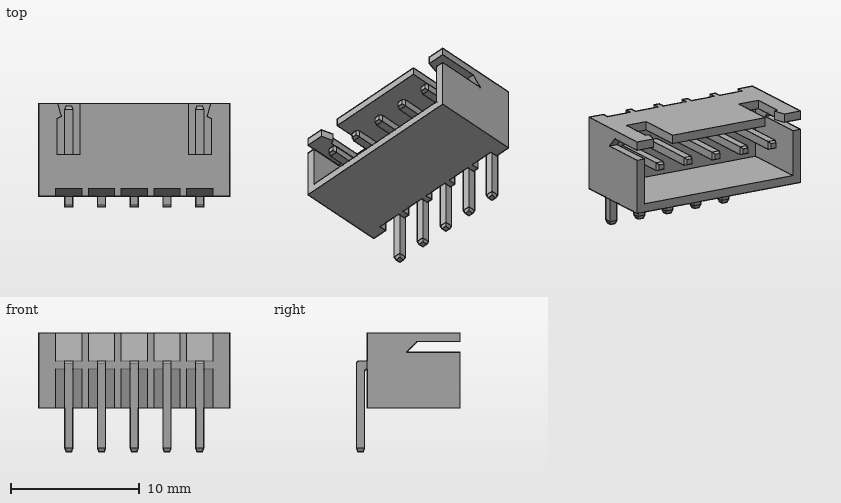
import cadquery as cq


housing_length = 14.83
housing_depth = 7.2
housing_height = 5.85
top_wall = 0.68
bottom_wall = top_wall
end_wall = 0.7
back_wall = 1.6

pin_count = 5
pin_pitch = 2.54
pin_size = 0.64
pin_drop = 2.18
pin_overhang = 0.83
pin_tail = 3.38
pin_tip_setback = 0.2
pin_bend_radius = 0.21
tip_length = 0.28
tip_inset = 0.1

recess_width = 2.05
recess_depth = 0.62
upper_recess_height = 2.18
lower_recess_drop = 2.79

latch_outer = 1.44
latch_inner = 3.22
latch_depth = 3.95
nub_rim_offset = 1.48
nub_peak_offset = 1.76
nub_peak_depth = 1.01
nub_end_depth = 1.17

side_slot_bottom_drop = 1.5
side_slot_top_depth = 3.32
side_slot_bottom_depth = 4.14

half_length = housing_length / 2
pin_positions = [(i - (pin_count - 1) / 2) * pin_pitch for i in range(pin_count)]


def extrude_along_x(points, width, x_center):
    """Prism of a (y, z) outline, centred on x_center."""
    return (
        cq.Workplane("YZ")
        .workplane(offset=x_center - width / 2)
        .polyline(points)
        .close()
        .extrude(width)
    )


def make_shell():
    block = cq.Workplane("XY").box(
        housing_length, housing_depth, housing_height, centered=(True, False, False)
    )
    cavity = (
        cq.Workplane("XY")
        .box(
            housing_length - 2 * end_wall,
            housing_depth - back_wall,
            housing_height - top_wall - bottom_wall,
            centered=(True, False, False),
        )
        .translate((0, back_wall, bottom_wall))
    )
    return block.cut(cavity)


def make_back_recesses(x):
    """Upper recess deepest at the top edge, lower recess deepest at the bottom edge."""
    upper = [
        (0, housing_height - upper_recess_height),
        (0, housing_height),
        (recess_depth, housing_height),
    ]
    lower = [(0, housing_height - lower_recess_drop), (0, 0), (recess_depth, 0)]
    return extrude_along_x(upper, recess_width, x).union(
        extrude_along_x(lower, recess_width, x)
    )


def make_latch_slot():
    """Slot at the -X end, open at the rim, with a snap nub on its outer edge."""
    outline = [
        (nub_rim_offset, 0),
        (nub_peak_offset, nub_peak_depth),
        (latch_outer, nub_end_depth),
        (latch_outer, latch_depth),
        (latch_inner, latch_depth),
        (latch_inner, 0),
    ]
    points = [(offset - half_length, housing_depth - depth) for offset, depth in outline]
    return (
        cq.Workplane("XY")
        .workplane(offset=housing_height - top_wall)
        .polyline(points)
        .close()
        .extrude(top_wall)
    )


def make_side_slots():
    """One cut through both end walls just under the top wall."""
    slot_top = housing_height - top_wall
    slot_bottom = housing_height - side_slot_bottom_drop
    points = [
        (housing_depth, slot_top),
        (housing_depth - side_slot_top_depth, slot_top),
        (housing_depth - side_slot_bottom_depth, slot_bottom),
        (housing_depth, slot_bottom),
    ]
    end_pieces = [
        extrude_along_x(points, end_wall, side * (half_length - end_wall / 2))
        for side in (-1, 1)
    ]
    return end_pieces[0].union(end_pieces[1])


def make_tip(plane):
    """Tapered pin end, growing along the normal of the given plane."""
    end_size = pin_size - 2 * tip_inset
    return (
        cq.Workplane(plane)
        .rect(pin_size, pin_size)
        .workplane(offset=tip_length)
        .rect(end_size, end_size)
        .loft(combine=True)
    )


def make_pin():
    """L-shaped square pin at x = 0 with both ends tapered."""
    pin_top = housing_height - pin_drop
    pin_bottom = pin_top - pin_size
    tail_back = -pin_overhang
    tail_front = tail_back + pin_size
    mating_end = housing_depth - pin_tip_setback - tip_length
    tail_end = -pin_tail + tip_length
    points = [
        (tail_back, tail_end),
        (tail_back, pin_top),
        (mating_end, pin_top),
        (mating_end, pin_bottom),
        (tail_front, pin_bottom),
        (tail_front, tail_end),
    ]
    bar = extrude_along_x(points, pin_size, 0)
    bend_margin = pin_size / 4
    bend_edges = cq.selectors.BoxSelector(
        (-pin_size, tail_back - bend_margin, pin_bottom - bend_margin),
        (pin_size, tail_front + bend_margin, pin_top + bend_margin),
    )
    bar = bar.edges("|X").edges(bend_edges).fillet(pin_bend_radius)
    mating_plane = cq.Plane(
        origin=(0, mating_end, pin_top - pin_size / 2), xDir=(1, 0, 0), normal=(0, 1, 0)
    )
    tail_plane = cq.Plane(
        origin=(0, tail_back + pin_size / 2, tail_end), xDir=(1, 0, 0), normal=(0, 0, -1)
    )
    return bar.union(make_tip(mating_plane)).union(make_tip(tail_plane))


result = make_shell().cut(make_side_slots())

latch_slot = make_latch_slot()
result = result.cut(latch_slot).cut(latch_slot.mirror("YZ"))

for x in pin_positions:
    result = result.cut(make_back_recesses(x))

pin = make_pin()
for x in pin_positions:
    result = result.union(pin.translate((x, 0, 0)))